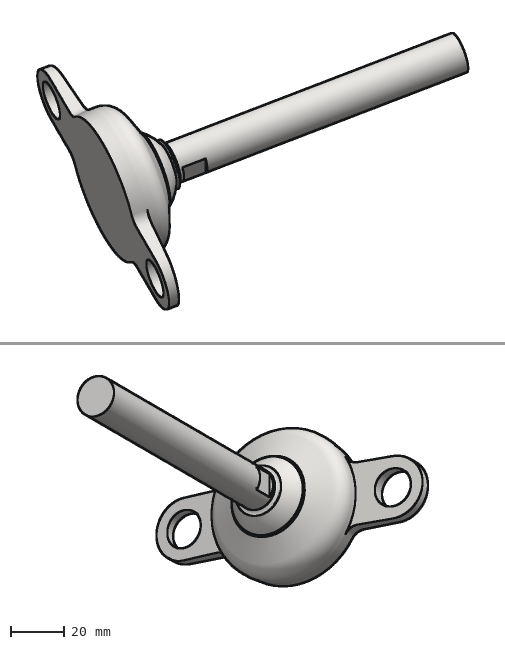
import cadquery as cq
import math


total_height = 148.0
rod_radius = 8.0
rod_end_y = 28.4
flat_half_width = 6.5
flat_start_y = 29.9
flat_length = 9.6
neck_radius = 7.3
lip_radius = 9.9
lip_top_y = 27.2
lip_bottom_y = 26.3
flare_sag = 0.37

ball_radius = 19.1
ball_center_y = 9.5

foot_diameter = 60.0
underside_radius = 29.3
draft_height = 6.4
shoulder_start_y = 9.0
shoulder_end_radius = 25.8
shoulder_end_y = 15.5
rim_radius = 16.0
rim_y = 20.0
socket_mouth_y = 21.3

ear_width = 25.0
ear_tip_x = 58.0
ear_hole_radius = 7.5
ear_tip_height = 4.1
ear_slope = math.radians(3.7)
ear_corner_radius = 5.9

foot_radius = foot_diameter / 2
ear_half_width = ear_width / 2
ear_center_x = ear_tip_x - ear_half_width


def ball_section_radius(y):
    """Radius of the ball where a plane at height y cuts it."""
    return math.sqrt(ball_radius**2 - (y - ball_center_y) ** 2)


def revolve_about_y(profile):
    """Revolve a closed XY profile, with the start of the turn placed on the +Z side."""
    solid = profile.close().revolve(360, (0, 0, 0), (0, 1, 0))
    return solid.rotate((0, 0, 0), (0, 1, 0), -90)


def ball_arc_middle(lower_y, upper_y):
    """Point on the ball outline midway in height between two levels."""
    middle_y = (lower_y + upper_y) / 2
    return ball_section_radius(middle_y), middle_y


def make_stem():
    flare_middle = (
        (neck_radius + lip_radius) / 2 - flare_sag,
        (rod_end_y + lip_top_y) / 2 - flare_sag,
    )
    profile = (
        cq.Workplane("XY")
        .moveTo(0, ball_center_y)
        .lineTo(ball_radius, ball_center_y)
        .threePointArc(
            ball_arc_middle(ball_center_y, lip_bottom_y),
            (ball_section_radius(lip_bottom_y), lip_bottom_y),
        )
        .lineTo(lip_radius, lip_top_y)
        .threePointArc(flare_middle, (neck_radius, rod_end_y))
        .lineTo(rod_radius, rod_end_y)
        .lineTo(rod_radius, total_height)
        .lineTo(0, total_height)
    )
    stem = revolve_about_y(profile)

    for side in (-1, 1):
        flat_cutter = cq.Workplane("XY").box(
            rod_radius, flat_length, 2 * rod_radius, centered=(True, False, True)
        )
        cutter_x = side * (flat_half_width + rod_radius / 2)
        stem = stem.cut(flat_cutter.translate((cutter_x, flat_start_y, 0)))
    return stem


def make_foot_shell():
    """Round foot with a drafted skirt and rounded shoulder, still without its socket."""
    profile = (
        cq.Workplane("XY")
        .lineTo(underside_radius, 0)
        .lineTo(foot_radius, draft_height)
        .lineTo(foot_radius, shoulder_start_y)
        .tangentArcPoint((shoulder_end_radius, shoulder_end_y), relative=False)
        .lineTo(rim_radius, rim_y)
        .lineTo(ball_section_radius(socket_mouth_y), socket_mouth_y)
        .lineTo(0, socket_mouth_y)
    )
    return revolve_about_y(profile)


def make_socket_cutter():
    """Room for the ball, from its flat end up to the mouth of the socket."""
    profile = (
        cq.Workplane("XY")
        .moveTo(0, ball_center_y)
        .lineTo(ball_radius, ball_center_y)
        .threePointArc(
            ball_arc_middle(ball_center_y, socket_mouth_y),
            (ball_section_radius(socket_mouth_y), socket_mouth_y),
        )
        .lineTo(0, socket_mouth_y)
    )
    return revolve_about_y(profile)


def make_ear_blank():
    """Flat bar with round ends that forms both ears."""
    return (
        cq.Workplane("XZ")
        .slot2D(2 * ear_tip_x, 2 * ear_half_width)
        .extrude(-draft_height)
    )


def make_ear_slopes():
    """Block that is level inside the foot and falls towards both ear tips."""
    slope_start_x = ear_tip_x - (draft_height - ear_tip_height) / math.tan(ear_slope)
    return (
        cq.Workplane("XY")
        .moveTo(-ear_tip_x, 0)
        .lineTo(ear_tip_x, 0)
        .lineTo(ear_tip_x, ear_tip_height)
        .lineTo(slope_start_x, draft_height)
        .lineTo(-slope_start_x, draft_height)
        .lineTo(-ear_tip_x, ear_tip_height)
        .close()
        .extrude(2 * foot_radius, both=True)
    )


def make_base_plate():
    """Drafted skirt with both ears, rounded where the ears meet the skirt."""
    skirt_profile = (
        cq.Workplane("XY")
        .lineTo(underside_radius, 0)
        .lineTo(foot_radius, draft_height)
        .lineTo(0, draft_height)
    )
    plate = revolve_about_y(skirt_profile).union(make_ear_blank())

    root_x = math.sqrt(underside_radius**2 - ear_half_width**2)
    for x in (-root_x, root_x):
        for z in (-ear_half_width, ear_half_width):
            corner = cq.selectors.NearestToPointSelector((x, draft_height / 2, z))
            plate = plate.edges(corner).fillet(ear_corner_radius)

    holes = (
        cq.Workplane("XZ")
        .pushPoints([(-ear_center_x, 0), (ear_center_x, 0)])
        .circle(ear_hole_radius)
        .extrude(-draft_height)
    )
    return plate.intersect(make_ear_slopes()).cut(holes)


def make_foot():
    return make_foot_shell().union(make_base_plate()).cut(make_socket_cutter())


stem = make_stem()
foot = make_foot()

result = cq.Compound.makeCompound([*stem.solids().vals(), *foot.solids().vals()])